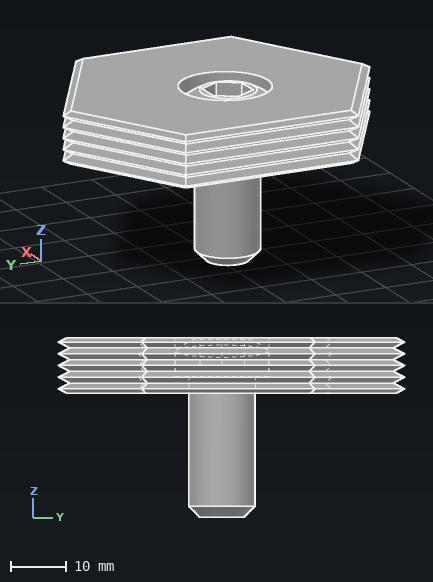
import cadquery as cq
import math


SIDE_COUNT = 6
NEAREST_SIDE = 24.0
SIDE_STEP = 1.0
NEAREST_SIDE_ANGLE = 180.0
SIDE_TURN = 360.0 / SIDE_COUNT
PLATE_THICKNESS = 10.05

TOOTH_COUNT = 5
TIP_SPAN = 8.4
TOOTH_PITCH = TIP_SPAN / (TOOTH_COUNT - 1)
TOOTH_DEPTH = 1.75
INSET_PER_HEIGHT = TOOTH_DEPTH / (TOOTH_PITCH / 2)
FIRST_TIP_Z = (PLATE_THICKNESS - TIP_SPAN) / 2

ECCENTRICITY = 1.0
SHANK_X = -ECCENTRICITY
SHANK_RADIUS = 6.0
SHANK_CHAMFER = 2.0
OVERALL_HEIGHT = 32.35
SCREW_REACH = OVERALL_HEIGHT - PLATE_THICKNESS
HEAD_RADIUS = 8.35
HEAD_RECESS = 0.3
HEAD_TOP_Z = PLATE_THICKNESS - HEAD_RECESS
HEAD_HEIGHT = 6.6
HEAD_SEAT_Z = HEAD_TOP_Z - HEAD_HEIGHT

DOME_X = -1.3
DOME_RADIUS = 13.1
DOME_FLAT_RADIUS = 5.2

SOCKET_SIDES = 6
SOCKET_ACROSS_FLATS = 8.0
SOCKET_DEPTH = 4.6

HEAD_CLEARANCE = 0.1
COUNTERBORE_RADIUS = HEAD_RADIUS + HEAD_CLEARANCE


def hexagon_corners(inset):
    """Corners where neighbouring sides meet, with all sides moved inward by the inset."""
    distances = [NEAREST_SIDE + SIDE_STEP * i - inset for i in range(SIDE_COUNT)]
    turn = math.radians(SIDE_TURN)
    corners = []
    for i, distance in enumerate(distances):
        next_distance = distances[(i + 1) % SIDE_COUNT]
        normal = math.radians(NEAREST_SIDE_ANGLE) + i * turn
        along = (next_distance - distance * math.cos(turn)) / math.sin(turn)
        x = distance * math.cos(normal) - along * math.sin(normal)
        y = distance * math.sin(normal) + along * math.cos(normal)
        corners.append((x, y))
    return corners


def flank(tip_z, root_z):
    """Slice of the plate between a tooth tip and the level where its flank ends."""
    root_inset = abs(root_z - tip_z) * INSET_PER_HEIGHT
    return (
        cq.Workplane("XY", origin=(0, 0, tip_z))
        .polyline(hexagon_corners(0))
        .close()
        .workplane(offset=root_z - tip_z)
        .polyline(hexagon_corners(root_inset))
        .close()
        .loft(ruled=True)
    )


def cylinder(x, radius, bottom_z, top_z):
    return cq.Workplane("XY", origin=(x, 0, bottom_z)).circle(radius).extrude(top_z - bottom_z)


def make_plate():
    plate = None
    for i in range(TOOTH_COUNT):
        tip_z = FIRST_TIP_Z + i * TOOTH_PITCH
        lower_z = max(0, tip_z - TOOTH_PITCH / 2)
        upper_z = min(PLATE_THICKNESS, tip_z + TOOTH_PITCH / 2)
        tooth = flank(tip_z, lower_z).union(flank(tip_z, upper_z))
        plate = tooth if plate is None else plate.union(tooth)
    counterbore = cylinder(0, COUNTERBORE_RADIUS, HEAD_SEAT_Z, PLATE_THICKNESS)
    shank_hole = cylinder(SHANK_X, SHANK_RADIUS, 0, HEAD_SEAT_Z)
    return plate.cut(counterbore).cut(shank_hole)


def make_screw():
    dome_center_z = HEAD_TOP_Z - math.sqrt(DOME_RADIUS**2 - DOME_FLAT_RADIUS**2)
    dome = cq.Workplane("XY", origin=(DOME_X, 0, dome_center_z)).sphere(DOME_RADIUS)
    head = cylinder(0, HEAD_RADIUS, HEAD_SEAT_Z, HEAD_TOP_Z).intersect(dome)
    shank = cylinder(SHANK_X, SHANK_RADIUS, -SCREW_REACH, HEAD_SEAT_Z)
    shank = shank.faces("<Z").chamfer(SHANK_CHAMFER)
    socket_across_corners = SOCKET_ACROSS_FLATS / math.cos(math.pi / SOCKET_SIDES)
    socket = (
        cq.Workplane("XY", origin=(SHANK_X, 0, HEAD_TOP_Z))
        .polygon(SOCKET_SIDES, socket_across_corners)
        .extrude(-SOCKET_DEPTH)
    )
    return head.union(shank).cut(socket)


plate = make_plate()
screw = make_screw()

result = cq.Compound.makeCompound([*plate.solids().vals(), *screw.solids().vals()])